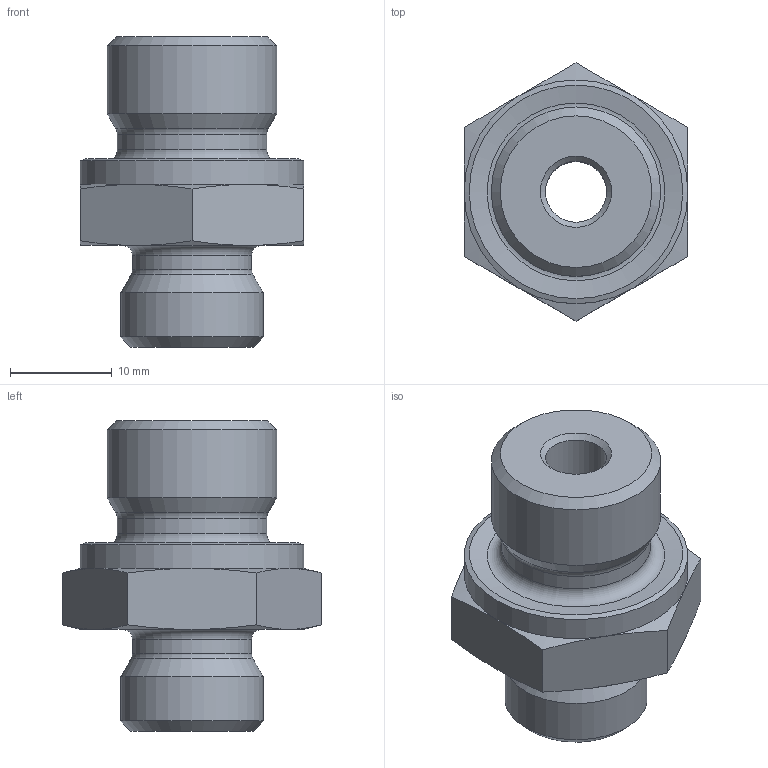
import cadquery as cq
import math

lower_stud_length = 10.0
hexagon_height = 6.0
collar_height = 2.5
upper_stud_length = 12.0

hexagon_bottom = lower_stud_length
hexagon_top = hexagon_bottom + hexagon_height
collar_top = hexagon_top + collar_height
total_height = collar_top + upper_stud_length

across_flats = 22.0
across_corners = across_flats / math.cos(math.radians(30))
hexagon_chamfer_angle = 15.0

lower_stud_radius = 14.0 / 2
lower_neck_radius = 11.7 / 2
lower_end_chamfer = 1.0
lower_shoulder_top = 5.35
lower_neck_fillet = 1.0

upper_stud_radius = 16.66 / 2
upper_neck_radius = 14.7 / 2
upper_end_chamfer = 0.88
upper_shoulder_bottom = total_height - 7.57
upper_neck_fillet = 1.2

neck_cone_angle = 30.0

collar_radius = across_flats / 2
rim_radius = 21.0 / 2
rim_edge_drop = 0.2
seat_angle = 9.0

bore_radius = 6.0 / 2
bore_chamfer = 0.5


def revolve_about_z(outline):
    """Turn an outline drawn with X as radius and Y as height about the part axis."""
    return outline.close().revolve(360, (0, 0, 0), (0, 1, 0))


def neck_blend(neck_radius, stud_radius, shoulder_z, fillet, direction):
    """Points of the arc joining a neck to the cone that widens to the stud.

    direction is +1 when the stud lies above its neck and -1 when it lies below.
    Returns the tangent point on the neck, the arc midpoint and the tangent point on the cone.
    """
    angle = math.radians(neck_cone_angle)
    cone_length = (stud_radius - neck_radius) / math.tan(angle)
    corner_z = shoulder_z - direction * cone_length
    center_z = corner_z - direction * fillet * math.tan(angle / 2)

    def arc_point(turn):
        radius = neck_radius + fillet * (1 - math.cos(turn))
        return radius, center_z + direction * fillet * math.sin(turn)

    return arc_point(0), arc_point(angle / 2), arc_point(angle)


def make_lower_stud():
    on_neck, on_arc, on_cone = neck_blend(
        lower_neck_radius, lower_stud_radius, lower_shoulder_top, lower_neck_fillet, -1
    )
    arc_center_r = lower_neck_radius + lower_neck_fillet
    arc_center_z = hexagon_bottom - lower_neck_fillet
    diagonal = lower_neck_fillet * math.sqrt(0.5)
    outline = (
        cq.Workplane("XZ")
        .moveTo(0, 0)
        .lineTo(lower_stud_radius - lower_end_chamfer, 0)
        .lineTo(lower_stud_radius, lower_end_chamfer)
        .lineTo(lower_stud_radius, lower_shoulder_top)
        .lineTo(*on_cone)
        .threePointArc(on_arc, on_neck)
        .lineTo(lower_neck_radius, arc_center_z)
        .threePointArc((arc_center_r - diagonal, arc_center_z + diagonal), (arc_center_r, hexagon_bottom))
        .lineTo(0, hexagon_bottom)
    )
    return revolve_about_z(outline)


def make_hexagon():
    prism = (
        cq.Workplane("XY")
        .workplane(offset=hexagon_bottom)
        .polygon(6, across_corners)
        .extrude(hexagon_height)
        .rotate((0, 0, 0), (0, 0, 1), 30)
    )
    flat_radius = across_flats / 2
    corner_radius = across_corners / 2
    corner_drop = (corner_radius - flat_radius) * math.tan(math.radians(hexagon_chamfer_angle))
    bevel_outline = (
        cq.Workplane("XZ")
        .moveTo(0, hexagon_bottom)
        .lineTo(flat_radius, hexagon_bottom)
        .lineTo(corner_radius, hexagon_bottom + corner_drop)
        .lineTo(corner_radius, hexagon_top - corner_drop)
        .lineTo(flat_radius, hexagon_top)
        .lineTo(0, hexagon_top)
    )
    return prism.intersect(revolve_about_z(bevel_outline))


def make_collar_and_upper_stud():
    on_neck, on_arc, on_cone = neck_blend(
        upper_neck_radius, upper_stud_radius, upper_shoulder_bottom, upper_neck_fillet, 1
    )
    seat = math.radians(seat_angle)
    arc_center_r = upper_neck_radius + upper_neck_fillet
    seat_end_r = arc_center_r + upper_neck_fillet * math.sin(seat)
    seat_end_z = collar_top - (rim_radius - seat_end_r) * math.tan(seat)
    arc_center_z = seat_end_z + upper_neck_fillet * math.cos(seat)
    middle = (math.pi / 2 + seat) / 2
    arc_middle = (
        arc_center_r - upper_neck_fillet * math.cos(middle),
        arc_center_z - upper_neck_fillet * math.sin(middle),
    )
    outline = (
        cq.Workplane("XZ")
        .moveTo(0, hexagon_top)
        .lineTo(collar_radius, hexagon_top)
        .lineTo(collar_radius, collar_top - rim_edge_drop)
        .lineTo(rim_radius, collar_top)
        .lineTo(seat_end_r, seat_end_z)
        .threePointArc(arc_middle, (upper_neck_radius, arc_center_z))
        .lineTo(*on_neck)
        .threePointArc(on_arc, on_cone)
        .lineTo(upper_stud_radius, upper_shoulder_bottom)
        .lineTo(upper_stud_radius, total_height - upper_end_chamfer)
        .lineTo(upper_stud_radius - upper_end_chamfer, total_height)
        .lineTo(0, total_height)
    )
    return revolve_about_z(outline)


def make_bore():
    """Through bore with a chamfered mouth at the top."""
    outline = (
        cq.Workplane("XZ")
        .moveTo(0, 0)
        .lineTo(bore_radius, 0)
        .lineTo(bore_radius, total_height - bore_chamfer)
        .lineTo(bore_radius + bore_chamfer, total_height)
        .lineTo(0, total_height)
    )
    return revolve_about_z(outline)


body = make_lower_stud().union(make_hexagon()).union(make_collar_and_upper_stud())
result = body.cut(make_bore())